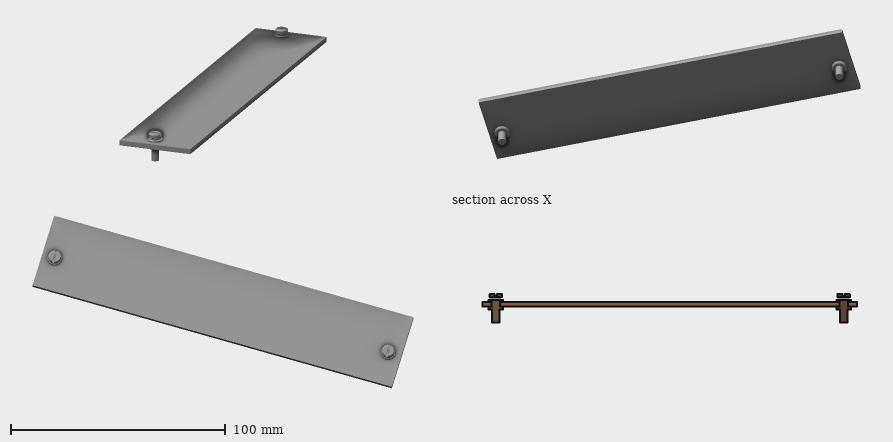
import cadquery as cq

plate_width = 35.5
plate_length = 174.7
plate_thickness = 2.5

screw_x = -2.3
screw_spacing = 162.1

shank_diameter = 3.7
shank_reach = 7.3
flange_diameter = 7.0
flange_thickness = 0.9
collar_thickness = 1.4
rim_chamfer = 0.3
head_diameter = 6.0
head_height = 3.7
head_chamfer = 0.44
head_base_diameter = 5.6
head_step_height = 2.1
slot_width = 1.0
slot_depth = 1.0
seal_hole_diameter = 1.0
seal_hole_height = 1.4

screw_points = [(screw_x, side * screw_spacing / 2) for side in (-1, 1)]


def disc(diameter, bottom, height):
    """Upright cylinder on the Z axis."""
    return cq.Workplane("XY").workplane(offset=bottom).circle(diameter / 2).extrude(height)


def make_plate():
    """Flat plate with a through hole for each screw."""
    blank = cq.Workplane("XY").box(plate_width, plate_length, plate_thickness, centered=(True, True, False))
    return blank.faces(">Z").workplane(origin=(0, 0, 0)).pushPoints(screw_points).hole(shank_diameter)


def make_head():
    """Chamfered head on a narrower base, with a driver slot along X and a wire hole along Y."""
    head_top = plate_thickness + head_height
    head_step = plate_thickness + head_step_height
    head = disc(head_diameter, head_step, head_top - head_step).faces(">Z").chamfer(head_chamfer)
    head = head.union(disc(head_base_diameter, plate_thickness, head_step_height))
    slot = (
        cq.Workplane("XY")
        .workplane(offset=head_top - slot_depth)
        .rect(head_diameter, slot_width)
        .extrude(slot_depth)
    )
    seal_hole = (
        cq.Workplane("XZ")
        .center(0, plate_thickness + seal_hole_height)
        .circle(seal_hole_diameter / 2)
        .extrude(head_diameter / 2, both=True)
    )
    return head.cut(slot).cut(seal_hole)


def make_screw():
    """One screw on the Z axis, holding the plate between its flange and its collar."""
    shank = disc(shank_diameter, -shank_reach, shank_reach + plate_thickness)
    flange = disc(flange_diameter, plate_thickness, flange_thickness).faces(">Z").chamfer(rim_chamfer)
    collar = disc(flange_diameter, -collar_thickness, collar_thickness).faces("<Z").chamfer(rim_chamfer)
    return shank.union(collar).union(flange).union(make_head())


plate = make_plate()
screw = make_screw()
screws = [screw.translate((x, y, 0)) for x, y in screw_points]

result = cq.Compound.makeCompound([plate.val(), *[placed.val() for placed in screws]])